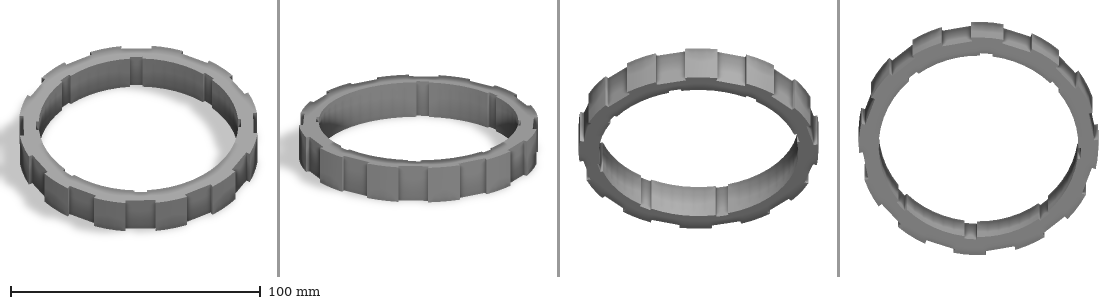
import cadquery as cq

height = 15.0
outer_radius = 48.0
inner_radius = 40.0

notch_count = 12
notch_width = 12.0
notch_floor_distance = 46.0

keyway_positions = 8
keyway_count = keyway_positions - 1
first_keyway_angle = 30.19
keyway_width = 5.0
keyway_floor_distance = 41.0


def make_ring():
    """Plain ring standing on the XY plane."""
    return cq.Workplane("XY").circle(outer_radius).circle(inner_radius).extrude(height)


def radial_block(start, end, width, angle):
    """Full-height block from distance start to end along the given direction."""
    return (
        cq.Workplane("XY")
        .box(end - start, width, height, centered=(False, True, False))
        .translate((start, 0, 0))
        .rotate((0, 0, 0), (0, 0, 1), angle)
    )


def cut_outer_notches(body):
    """Cut a straight-walled notch with a flat floor at each outer position."""
    for index in range(notch_count):
        angle = index * 360.0 / notch_count
        body = body.cut(radial_block(notch_floor_distance, outer_radius, notch_width, angle))
    return body


def cut_keyways(body):
    """Cut the keyways outward from the bore."""
    for index in range(keyway_count):
        angle = first_keyway_angle + index * 360.0 / keyway_positions
        body = body.cut(radial_block(0, keyway_floor_distance, keyway_width, angle))
    return body


result = cut_keyways(cut_outer_notches(make_ring()))